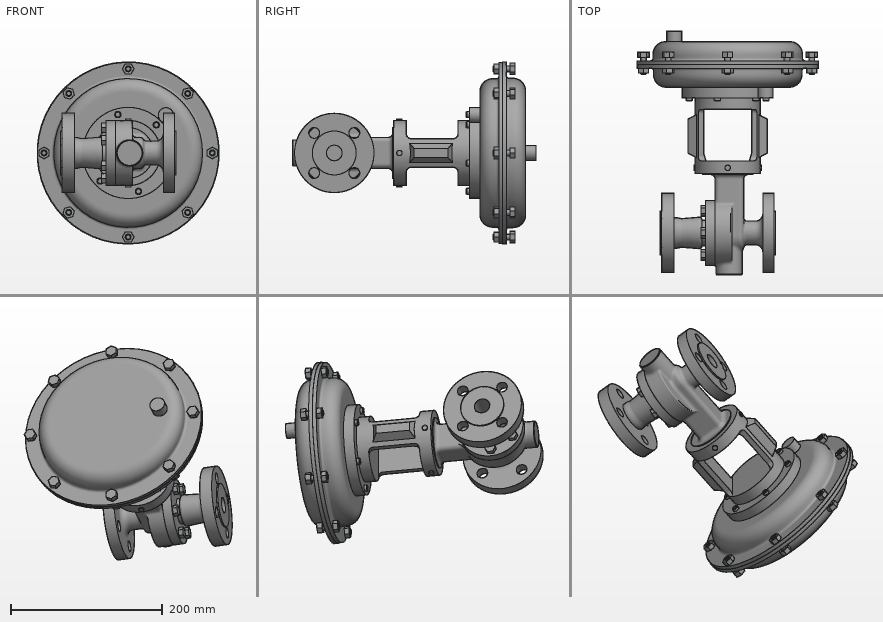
import cadquery as cq
import math


plug_end_y = -55.5
overall_height = 322.8
port_end_y = plug_end_y + overall_height
casing_bottom_y = 192.7
casing_top_y = 253.5
rim_bottom_y = 218.0
rim_top_y = 228.0
rim_joint_y = (rim_bottom_y + rim_top_y) / 2
base_bottom_y = 179.0
window_top_y = 163.7
window_bottom_y = 95.5
yoke_bottom_y = 78.5
pad_thickness = 1.3
neck_top_y = yoke_bottom_y - pad_thickness

rim_diameter = 241.0
rim_step = 0.5
upper_rim_radius = rim_diameter / 2
lower_rim_radius = upper_rim_radius - rim_step
upper_casing_radius = 99.0
lower_casing_radius = 98.5
casing_round = 17.0
rim_flare = 3.2
base_radius = 60.5
port_radius = 10.0
port_offset = 70.7

rim_bolt_count = 8
rim_bolt_circle = 111.5
rim_bolt_radius = 4.0
rim_hex_corners = 15.5
rim_head_gap = 4.5
rim_head_height = 7.0
rim_nut_height = 6.5
rim_nut_turn = 30
rim_bolt_tip = 1.5
tip_chamfer = 1.0

base_screw_count = 6
base_screw_first_angle = 45
base_screw_circle = 52.5
base_screw_radius = 4.2
base_screw_height = 4.2

yoke_radius = 43.3
leg_half_width = 19.0
leg_fillet = 6.0
window_half_width = 31.5
window_taper_width = 3.0
window_taper_height = 10.0
boss_face_x = 52.5
boss_root_x = 41.3
boss_center_y = 128.2
boss_root_size = (56.8, 25.5)
boss_face_size = (45.2, 12.3)
set_screw_count = 4
set_screw_y = 86.2
set_screw_radius = 3.5
set_screw_reach = 45.0

pad_radius = 33.5
neck_center_x = 2.3
neck_width = 38.0
neck_start_x = neck_center_x - neck_width / 2
neck_end_x = neck_center_x + neck_width / 2
neck_depth = 41.3
neck_corner = 6.0
neck_flare = 5.8
neck_round_center_y = -4.0
plug_center_x = 2.0
plug_radius = 17.5
plug_chamfer = 1.0
plug_blend = 5.2
cover_start_x = -29.5
cover_radius = 43.3
body_start_x = neck_start_x
body_radius = 43.0
body_end_x = 5.5
body_edge_round = 1.5
body_blend = 5.2
outlet_blend = 4.5

cover_bolt_count = 6
cover_bolt_first_angle = 90
cover_bolt_circle = 33.5
cover_hex_corners = 14.5
cover_head_height = 6.0

flange_radius = 52.5
raised_face_radius = 29.0
raised_face_height = 2.0
inlet_flange_start_x = -87.5
inlet_flange_end_x = -71.0
inlet_hub_radius = 20.3
inlet_hub_end_x = -67.0
inlet_waist_radius = 19.0
inlet_waist_x = -61.0
inlet_cone_end_x = -37.8
inlet_end_radius = 21.0
inlet_end_round = 4.0
outlet_flange_start_x = 46.5
outlet_flange_end_x = 61.5
outlet_radius = 15.8
outlet_flare = 9.7
bore_radius = 10.3
inlet_bore_bottom_x = body_start_x
outlet_bore_bottom_x = neck_end_x
flange_hole_count = 4
flange_hole_first_angle = 45
flange_hole_circle = 37.5
flange_hole_radius = 7.0

hex_sides = 6
overlap = 1.5
tolerance = 0.15
arc_factor = math.sqrt(0.5)


def cylinder_y(radius, start_y, end_y, x=0, z=0):
    solid = cq.Solid.makeCylinder(radius, end_y - start_y, cq.Vector(x, start_y, z), cq.Vector(0, 1, 0))
    return cq.Workplane(solid)


def cylinder_x(radius, start_x, end_x, y=0, z=0):
    solid = cq.Solid.makeCylinder(radius, end_x - start_x, cq.Vector(start_x, y, z), cq.Vector(1, 0, 0))
    return cq.Workplane(solid)


def circle_points(radius, count, first_angle):
    angles = [math.radians(first_angle + 360 * i / count) for i in range(count)]
    return [(radius * math.cos(a), radius * math.sin(a)) for a in angles]


def arc_middle(center, radius, x_sign, y_sign):
    """Middle point of a quarter arc lying in the given quadrant about its center."""
    reach = radius * arc_factor
    return (center[0] + x_sign * reach, center[1] + y_sign * reach)


def select_within(corner, opposite_corner):
    """Select the edges lying wholly inside a box."""
    return cq.selectors.BoxSelector(corner, opposite_corner, boundingbox=True)


def make_casing():
    """Two dished shells with flared rims, revolved about the actuator axis."""
    bottom_flat = lower_casing_radius - casing_round
    top_flat = upper_casing_radius - casing_round
    bottom_round_y = casing_bottom_y + casing_round
    top_round_y = casing_top_y - casing_round
    lower_flare = (lower_casing_radius + rim_flare, rim_bottom_y - rim_flare)
    upper_flare = (upper_casing_radius + rim_flare, rim_top_y + rim_flare)
    profile = (
        cq.Workplane("XY")
        .moveTo(0, casing_bottom_y)
        .lineTo(bottom_flat, casing_bottom_y)
        .threePointArc(
            arc_middle((bottom_flat, bottom_round_y), casing_round, 1, -1),
            (lower_casing_radius, bottom_round_y),
        )
        .lineTo(lower_casing_radius, lower_flare[1])
        .threePointArc(arc_middle(lower_flare, rim_flare, -1, 1), (lower_flare[0], rim_bottom_y))
        .lineTo(lower_rim_radius, rim_bottom_y)
        .lineTo(lower_rim_radius, rim_joint_y)
        .lineTo(upper_rim_radius, rim_joint_y)
        .lineTo(upper_rim_radius, rim_top_y)
        .lineTo(upper_flare[0], rim_top_y)
        .threePointArc(arc_middle(upper_flare, rim_flare, -1, -1), (upper_casing_radius, upper_flare[1]))
        .lineTo(upper_casing_radius, top_round_y)
        .threePointArc(arc_middle((top_flat, top_round_y), casing_round, 1, 1), (top_flat, casing_top_y))
        .lineTo(0, casing_top_y)
        .close()
    )
    return profile.revolve(360, (0, 0, 0), (0, 1, 0))


def make_ports():
    """Round stub on the upper shell and another on the lower shell."""
    upper = cylinder_y(port_radius, casing_top_y - overlap, port_end_y, x=-port_offset)
    diagonal = port_offset * arc_factor
    lower = cylinder_y(port_radius, base_bottom_y, casing_bottom_y + overlap, diagonal, diagonal)
    return upper.union(lower)


def hex_y(corners, start_y, end_y):
    """Hexagonal prism along Y with two corners on the X direction."""
    return cq.Workplane("XZ", origin=(0, end_y, 0)).polygon(hex_sides, corners).extrude(end_y - start_y)


def make_rim_bolts():
    """Hexagon bolts through the rim, their heads standing clear of it and nuts below."""
    head_bottom_y = rim_top_y + rim_head_gap
    nut_bottom_y = rim_bottom_y - rim_nut_height
    tip_y = nut_bottom_y - rim_bolt_tip
    shank = cylinder_y(rim_bolt_radius, tip_y, head_bottom_y + overlap).faces("<Y").chamfer(tip_chamfer)
    head = hex_y(rim_hex_corners, head_bottom_y, head_bottom_y + rim_head_height)
    nut = hex_y(rim_hex_corners, nut_bottom_y, rim_bottom_y).rotate((0, 0, 0), (0, 1, 0), rim_nut_turn)
    bolt = shank.union(head).union(nut).translate((rim_bolt_circle, 0, 0))
    bolts = cq.Workplane()
    for i in range(rim_bolt_count):
        bolts = bolts.add(bolt.rotate((0, 0, 0), (0, 1, 0), 360 * i / rim_bolt_count))
    return bolts


def make_base():
    """Round base plate under the casing with its ring of screw ends."""
    screw_end_y = base_bottom_y - base_screw_height
    base = cylinder_y(base_radius, base_bottom_y, casing_bottom_y + overlap)
    for x, z in circle_points(base_screw_circle, base_screw_count, base_screw_first_angle):
        screw = cylinder_y(base_screw_radius, screw_end_y, base_bottom_y + overlap, x, z)
        base = base.union(screw.faces("<Y").chamfer(tip_chamfer))
    return base


def make_yoke():
    """Round column opened by a window, leaving two legs between end rings."""
    yoke = cylinder_y(yoke_radius, yoke_bottom_y, base_bottom_y + overlap)
    window_height = window_top_y - window_bottom_y
    side_cut = (
        cq.Workplane("XY", origin=(0, window_bottom_y + window_height / 2, leg_half_width))
        .rect(2 * yoke_radius + 2 * overlap, window_height)
        .extrude(yoke_radius)
        .faces("<Z").edges("|X").fillet(leg_fillet)
    )
    yoke = yoke.cut(side_cut).cut(side_cut.mirror("XY"))
    window = (
        cq.Workplane("XY")
        .moveTo(window_half_width - window_taper_width, window_bottom_y)
        .lineTo(window_half_width, window_bottom_y + window_taper_height)
        .lineTo(window_half_width, window_top_y)
        .lineTo(-window_half_width, window_top_y)
        .lineTo(-window_half_width, window_bottom_y + window_taper_height)
        .lineTo(-window_half_width + window_taper_width, window_bottom_y)
        .close()
        .extrude(yoke_radius, both=True)
    )
    yoke = yoke.cut(window)
    boss = (
        cq.Workplane("YZ", origin=(boss_root_x, boss_center_y, 0))
        .rect(*boss_root_size)
        .workplane(offset=boss_face_x - boss_root_x)
        .rect(*boss_face_size)
        .loft()
    )
    root_pad = (
        cq.Workplane("YZ", origin=(boss_root_x - overlap, boss_center_y, 0))
        .rect(*boss_root_size)
        .extrude(overlap)
    )
    boss = boss.union(root_pad)
    set_screw = cylinder_x(set_screw_radius, yoke_radius - overlap, set_screw_reach, y=set_screw_y)
    yoke = yoke.union(boss).union(boss.mirror("YZ"))
    for i in range(set_screw_count):
        yoke = yoke.union(set_screw.rotate((0, 0, 0), (0, 1, 0), 360 * i / set_screw_count))
    return yoke


def make_neck():
    """Rounded rectangular column, ending in a full round about the pipe direction."""
    half_depth = neck_depth / 2
    column = (
        cq.Workplane("XZ", origin=(neck_center_x, neck_top_y, 0))
        .rect(neck_width, neck_depth)
        .extrude(neck_top_y - neck_round_center_y)
        .edges("|Y").fillet(neck_corner)
    )
    bottom = cylinder_x(half_depth, neck_start_x, neck_end_x, y=neck_round_center_y)
    bottom = bottom.edges().fillet(neck_corner)
    pad = cylinder_y(pad_radius, neck_top_y, yoke_bottom_y + overlap)
    neck_reach = neck_end_x + overlap
    flare_joint = select_within(
        (-neck_reach, neck_top_y - tolerance, -neck_reach),
        (neck_reach, neck_top_y + tolerance, neck_reach),
    )
    flared = column.union(pad).edges(flare_joint).fillet(neck_flare)
    return flared.union(bottom)


def make_outlet_pipe():
    """Outlet pipe with a concave flare where it meets its flange."""
    flare_center = (outlet_flange_start_x - outlet_flare, outlet_radius + outlet_flare)
    pipe_start_x = body_end_x + overlap
    return (
        cq.Workplane("XY")
        .moveTo(pipe_start_x, 0)
        .lineTo(pipe_start_x, outlet_radius)
        .lineTo(flare_center[0], outlet_radius)
        .threePointArc(
            arc_middle(flare_center, outlet_flare, 1, -1),
            (outlet_flange_start_x, flare_center[1]),
        )
        .lineTo(outlet_flange_start_x, 0)
        .close()
        .revolve(360, (0, 0, 0), (1, 0, 0))
    )


def make_valve_body():
    """Neck, round body, outlet pipe and bottom plug blended into one casting."""
    half_depth = neck_depth / 2
    body = make_neck().union(cylinder_x(body_radius, body_start_x, body_end_x))
    neck_joint = select_within(
        (body_start_x - tolerance, -cover_radius, -half_depth - tolerance),
        (body_end_x + tolerance, cover_radius, half_depth + tolerance),
    )
    body = body.edges(neck_joint).fillet(body_blend)
    end_rim = select_within(
        (body_end_x - tolerance, -cover_radius, -cover_radius),
        (body_end_x + tolerance, cover_radius, cover_radius),
    )
    body = body.edges(end_rim).edges("%CIRCLE").fillet(body_edge_round)

    body = body.union(make_outlet_pipe())
    outlet_joint = select_within(
        (body_end_x + overlap, -outlet_radius - tolerance, -outlet_radius - tolerance),
        (neck_end_x + tolerance, outlet_radius + tolerance, outlet_radius + tolerance),
    )
    body = body.edges(outlet_joint).fillet(outlet_blend)

    plug = cylinder_y(plug_radius, plug_end_y, neck_round_center_y, plug_center_x)
    body = body.union(plug.faces("<Y").chamfer(plug_chamfer))
    plug_joint = select_within(
        (body_end_x - tolerance, -cover_radius, -plug_radius - tolerance),
        (body_end_x + tolerance, 0, plug_radius + tolerance),
    )
    return body.edges(plug_joint).fillet(plug_blend)


def make_cover():
    """Round cover with a ring of hexagonal bolt heads along the inlet side."""
    cover = cylinder_x(cover_radius, cover_start_x, body_start_x)
    for y, z in circle_points(cover_bolt_circle, cover_bolt_count, cover_bolt_first_angle):
        head = (
            cq.Workplane("YZ", origin=(cover_start_x - cover_head_height, y, z))
            .polygon(hex_sides, cover_hex_corners)
            .extrude(cover_head_height + overlap)
        )
        cover = cover.union(head)
    return cover


def make_flange(start_x, end_x):
    """Pipe flange disc with its bolt holes."""
    flange = cylinder_x(flange_radius, start_x, end_x)
    for y, z in circle_points(flange_hole_circle, flange_hole_count, flange_hole_first_angle):
        flange = flange.cut(cylinder_x(flange_hole_radius, start_x - overlap, end_x + overlap, y, z))
    return flange


def make_inlet():
    """Waisted inlet pipe from the cover to its flange."""
    round_center = (inlet_cone_end_x, inlet_end_radius - inlet_end_round)
    pipe = (
        cq.Workplane("XY")
        .moveTo(inlet_flange_end_x, 0)
        .lineTo(inlet_flange_end_x, inlet_hub_radius)
        .lineTo(inlet_hub_end_x, inlet_hub_radius)
        .lineTo(inlet_waist_x, inlet_waist_radius)
        .lineTo(inlet_cone_end_x, inlet_end_radius)
        .threePointArc(
            arc_middle(round_center, inlet_end_round, 1, 1),
            (round_center[0] + inlet_end_round, round_center[1]),
        )
        .lineTo(cover_start_x, round_center[1])
        .lineTo(cover_start_x, 0)
        .close()
        .revolve(360, (0, 0, 0), (1, 0, 0))
    )
    face_x = inlet_flange_start_x - raised_face_height
    face = cylinder_x(raised_face_radius, face_x, inlet_flange_start_x)
    bore = cylinder_x(bore_radius, face_x, inlet_bore_bottom_x)
    flange = make_flange(inlet_flange_start_x, inlet_flange_end_x)
    return pipe.union(flange).union(face).union(make_cover()).cut(bore)


def make_outlet_flange():
    """Outlet flange with its raised sealing face."""
    face = cylinder_x(raised_face_radius, outlet_flange_end_x, outlet_flange_end_x + raised_face_height)
    return make_flange(outlet_flange_start_x, outlet_flange_end_x).union(face)


def make_valve():
    bore = cylinder_x(bore_radius, outlet_bore_bottom_x, outlet_flange_end_x + raised_face_height)
    return make_valve_body().union(make_outlet_flange()).cut(bore).union(make_inlet())


def make_actuator():
    return make_casing().union(make_base()).union(make_ports()).union(make_rim_bolts())


result = make_actuator().union(make_yoke()).union(make_valve())